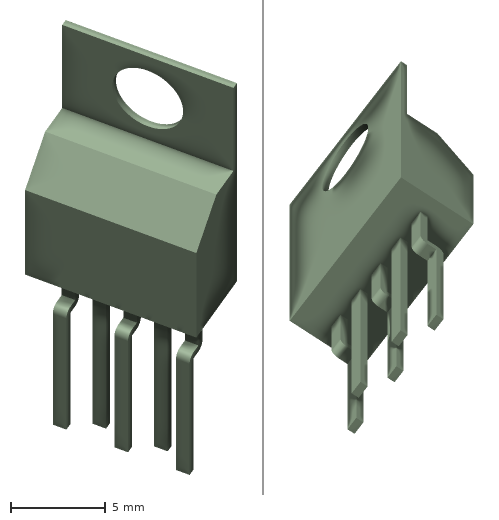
import cadquery as cq

total_height = 27.0
width = 10.2
housing_depth = 4.7
housing_bottom = 12.0
housing_top = 20.72
housing_chamfer = 2.32

tab_thickness = 0.4
hole_diameter = 4.21
hole_height = 23.82

lead_count = 5
lead_pitch = 1.85
lead_width = 0.8
lead_thickness = 0.45
lead_back_offset = 2.0
lead_step = 1.03
bend_top = 8.89

lead_back = -lead_back_offset
lead_front = lead_back - lead_thickness
bend_bottom = bend_top - lead_thickness


def make_housing():
    """Block with a sloped edge along its upper front."""
    return (
        cq.Workplane("XY", origin=(0, -housing_depth / 2, housing_bottom))
        .box(width, housing_depth, housing_top - housing_bottom, centered=(True, True, False))
        .faces("<Y")
        .edges(">Z")
        .chamfer(housing_chamfer)
    )


def make_tab():
    """Mounting plate standing on the housing, flush with its back, with a through hole."""
    plate = cq.Workplane("XY", origin=(0, -tab_thickness / 2, housing_top)).box(
        width, tab_thickness, total_height - housing_top, centered=(True, True, False)
    )
    hole = (
        cq.Workplane("XZ", origin=(0, 0, hole_height))
        .circle(hole_diameter / 2)
        .extrude(tab_thickness)
    )
    return plate.cut(hole)


def make_straight_lead(x):
    """Plain rectangular lead, centred on x, from the housing down to the tips."""
    return cq.Workplane("XY", origin=(x, (lead_back + lead_front) / 2, 0)).box(
        lead_width, lead_thickness, housing_bottom, centered=(True, True, False)
    )


def make_bent_lead(x):
    """Lead that steps forward; both bends have a sharp inside and a rounded outside."""
    lower_back = lead_back - lead_step
    lower_front = lead_front - lead_step
    return (
        cq.Workplane("YZ", origin=(x, 0, 0))
        .moveTo(lead_back, housing_bottom)
        .lineTo(lead_back, bend_top)
        .radiusArc((lead_front, bend_bottom), lead_thickness)
        .lineTo(lower_back, bend_bottom)
        .lineTo(lower_back, 0)
        .lineTo(lower_front, 0)
        .lineTo(lower_front, bend_bottom)
        .radiusArc((lower_back, bend_top), lead_thickness)
        .lineTo(lead_front, bend_top)
        .lineTo(lead_front, housing_bottom)
        .close()
        .extrude(lead_width / 2, both=True)
    )


housing = make_housing()
tab = make_tab()

leads = []
for i in range(lead_count):
    lead_x = (i - (lead_count - 1) / 2) * lead_pitch
    make_lead = make_bent_lead if i % 2 == 0 else make_straight_lead
    leads.append(make_lead(lead_x).val())

result = cq.Compound.makeCompound([housing.val(), tab.val(), *leads])